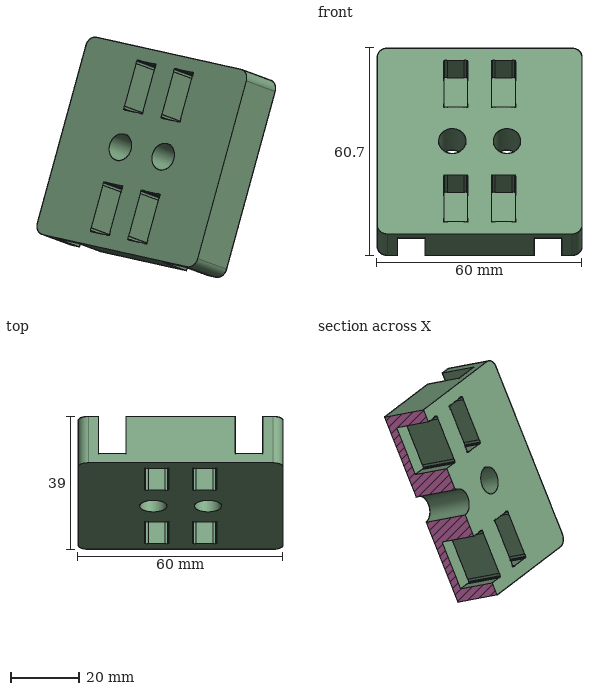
import cadquery as cq

side_length = 60.0
thickness = 15.0
corner_radius = 3.0
lean_angle = 25.0

channel_width = 8.0
channel_spacing = 40.0
front_web = 3.0
channel_depth = thickness - front_web

hole_diameter = 8.0
hole_spacing = 16.0

pocket_width = 7.0
pocket_height = 15.0
pocket_depth = 12.0
pocket_spacing_x = 14.0
pocket_spacing_z = 37.0
relief_diameter = 1.5
relief_bulge = 0.1
relief_inset = relief_diameter / 2 - relief_bulge


def front_plane():
    """Sketch plane on the front face; its normal points out of the block (-Y)."""
    return cq.Workplane("XZ")


def make_block():
    block = front_plane().rect(side_length, side_length).extrude(-thickness)
    return block.edges("|Y").fillet(corner_radius)


def make_channels():
    return (
        cq.Workplane("XY")
        .pushPoints([(-channel_spacing / 2, thickness), (channel_spacing / 2, thickness)])
        .rect(channel_width, 2 * channel_depth)
        .extrude(side_length / 2, both=True)
    )


def make_holes():
    return (
        front_plane()
        .pushPoints([(-hole_spacing / 2, 0), (hole_spacing / 2, 0)])
        .circle(hole_diameter / 2)
        .extrude(-thickness)
    )


def make_pocket(center_x, center_z):
    plane = front_plane().center(center_x, center_z)
    pocket = plane.rect(pocket_width, pocket_height).extrude(-pocket_depth)
    reliefs = (
        plane.rect(
            pocket_width - 2 * relief_inset,
            pocket_height - 2 * relief_inset,
            forConstruction=True,
        )
        .vertices()
        .circle(relief_diameter / 2)
        .extrude(-pocket_depth)
    )
    return pocket.union(reliefs)


body = make_block().cut(make_channels()).cut(make_holes())
for x_sign in (-1, 1):
    for z_sign in (-1, 1):
        body = body.cut(make_pocket(x_sign * pocket_spacing_x / 2, z_sign * pocket_spacing_z / 2))

result = body.rotate((0, 0, 0), (1, 0, 0), -lean_angle)